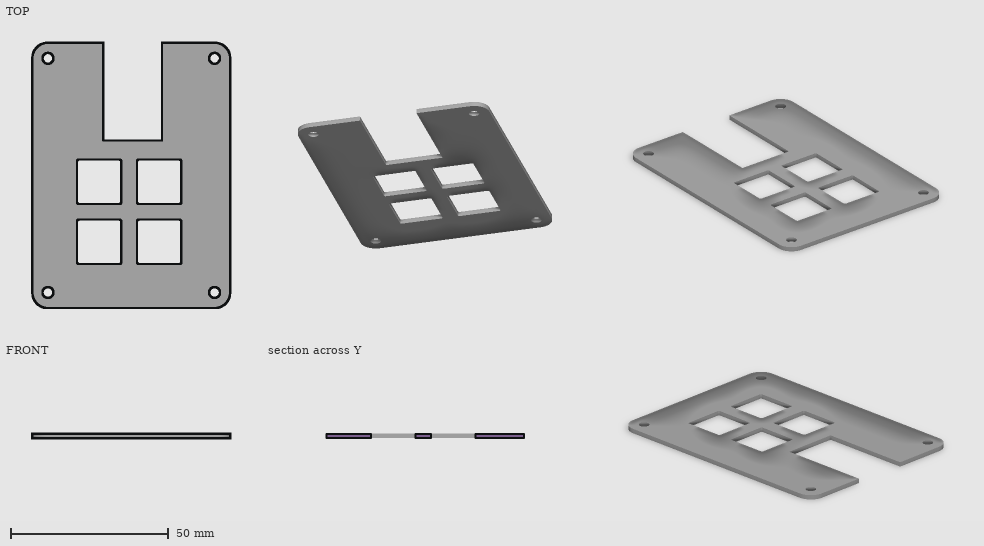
import cadquery as cq

PLATE_WIDTH = 62.86
PLATE_LENGTH = 84.29
PLATE_THICKNESS = 1.5
CORNER_RADIUS = 5.0

HOLE_DIAMETER = 3.4
HOLE_SPACING_X = PLATE_WIDTH - 2 * CORNER_RADIUS
HOLE_SPACING_Y = PLATE_LENGTH - 2 * CORNER_RADIUS

SWITCH_SIZE = 14.0
SWITCH_PITCH = 19.05
SWITCH_CORNER_RADIUS = 0.5
SWITCH_COUNT = 2
SWITCH_GRID_X = -0.68
SWITCH_GRID_Y = -11.54

NOTCH_WIDTH = 18.6
NOTCH_DEPTH = 31.0
NOTCH_X = 0.45


def make_plate():
    """Flat plate with rounded vertical corners, resting on Z = 0."""
    plate = cq.Workplane("XY").box(
        PLATE_WIDTH, PLATE_LENGTH, PLATE_THICKNESS, centered=(True, True, False)
    )
    return plate.edges("|Z").fillet(CORNER_RADIUS)


def make_mounting_holes():
    """One through-hole cutter near each corner."""
    return (
        cq.Workplane("XY")
        .rect(HOLE_SPACING_X, HOLE_SPACING_Y, forConstruction=True)
        .vertices()
        .circle(HOLE_DIAMETER / 2)
        .extrude(PLATE_THICKNESS)
    )


def make_switch_openings():
    """Through cutters for the switches, with slightly rounded corners."""
    return (
        cq.Workplane("XY")
        .center(SWITCH_GRID_X, SWITCH_GRID_Y)
        .rarray(SWITCH_PITCH, SWITCH_PITCH, SWITCH_COUNT, SWITCH_COUNT)
        .rect(SWITCH_SIZE, SWITCH_SIZE)
        .extrude(PLATE_THICKNESS)
        .edges("|Z")
        .fillet(SWITCH_CORNER_RADIUS)
    )


def make_notch():
    """Sharp-cornered rectangular cutter reaching in from the +Y edge."""
    return (
        cq.Workplane("XY")
        .center(NOTCH_X, PLATE_LENGTH / 2 - NOTCH_DEPTH / 2)
        .rect(NOTCH_WIDTH, NOTCH_DEPTH)
        .extrude(PLATE_THICKNESS)
    )


result = (
    make_plate()
    .cut(make_mounting_holes())
    .cut(make_switch_openings())
    .cut(make_notch())
)